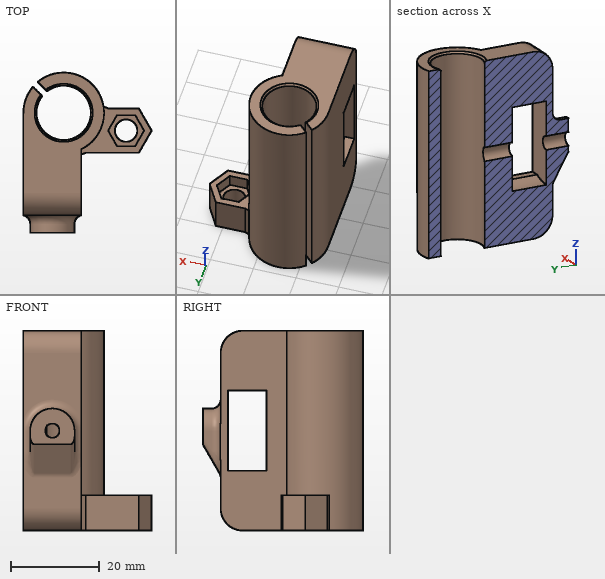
import cadquery as cq
import math

HEIGHT = 45.0
BORE_DIAMETER = 12.2
BORE_RADIUS = BORE_DIAMETER / 2
CLAMP_DIAMETER = 18.2
CLAMP_RADIUS = CLAMP_DIAMETER / 2
BORE_CHAMFER = 0.45
SLIT_WIDTH = 1.5
SLIT_ANGLE = 135.0

BLOCK_WIDTH = 13.1
BLOCK_LEFT = -CLAMP_RADIUS
BLOCK_RIGHT = BLOCK_LEFT + BLOCK_WIDTH
BLOCK_CENTER = BLOCK_LEFT + BLOCK_WIDTH / 2
BLOCK_FRONT = -23.0
BLOCK_ROUND = 5.0

WINDOW_HEIGHT = 18.0
WINDOW_LENGTH = 8.6
WINDOW_WALL = 1.7
WINDOW_FRONT = BLOCK_FRONT + WINDOW_WALL
WINDOW_BOTTOM = (HEIGHT - WINDOW_HEIGHT) / 2
WINDOW_RELIEF_DIAMETER = 20.0

BOSS_RADIUS = 5.0
BOSS_LENGTH = 4.0
BOSS_Z = HEIGHT / 2
BOSS_FACE_BOTTOM = 19.4
BOSS_SLOPE = 60.0
BOSS_EDGE_ROUND = 1.0
BOSS_ROOT_FILLET = 2.0
EDGE_SEARCH_MARGIN = 0.22
SCREW_DIAMETER = 3.2

LUG_HEIGHT = 8.0
LUG_FLATS = 10.0
LUG_X = 14.05
LUG_Y = -4.0
LUG_HOLE_DIAMETER = 5.0
LUG_CHAMFER_LENGTH = 1.0
LUG_CHAMFER_RISE = 0.4
HEX_SIDES = 6
NUT_FLATS = 7.0
NUT_DEPTH = 3.0


def box(x0, x1, y0, y1, z0, z1):
    return cq.Workplane("XY").box(x1 - x0, y1 - y0, z1 - z0, centered=False).translate((x0, y0, z0))


def corner_diameter(flats):
    return 2 * flats / math.sqrt(3)


def make_body():
    block = box(BLOCK_LEFT, BLOCK_RIGHT, BLOCK_FRONT, 0, 0, HEIGHT)
    block = block.edges("<Y and |X").fillet(BLOCK_ROUND)
    clamp = cq.Workplane("XY").circle(CLAMP_RADIUS).extrude(HEIGHT)
    return block.union(clamp)


def make_boss():
    tip_y = BLOCK_FRONT - BOSS_LENGTH
    root_z = BOSS_FACE_BOTTOM - BOSS_LENGTH * math.tan(math.radians(BOSS_SLOPE))
    boss = (
        cq.Workplane("XZ", origin=(BLOCK_CENTER, tip_y, BOSS_Z))
        .moveTo(-BOSS_RADIUS, 0)
        .threePointArc((0, BOSS_RADIUS), (BOSS_RADIUS, 0))
        .lineTo(BOSS_RADIUS, root_z - BOSS_Z)
        .lineTo(-BOSS_RADIUS, root_z - BOSS_Z)
        .close()
        .extrude(-BOSS_LENGTH)
    )
    underside = (
        cq.Workplane("YZ", origin=(BLOCK_CENTER - BOSS_RADIUS, 0, 0))
        .polyline([(tip_y, BOSS_FACE_BOTTOM), (BLOCK_FRONT, root_z), (tip_y, root_z)])
        .close()
        .extrude(2 * BOSS_RADIUS)
    )
    boss = boss.cut(underside)
    boss = boss.faces("<Z").edges("not(|X)").fillet(BOSS_EDGE_ROUND)

    plate_reach = BLOCK_WIDTH
    plate_back = WINDOW_FRONT
    plate = box(
        BLOCK_CENTER - plate_reach, BLOCK_CENTER + plate_reach,
        BLOCK_FRONT, plate_back, BLOCK_ROUND, HEIGHT - BLOCK_ROUND,
    )
    margin = EDGE_SEARCH_MARGIN
    reach = BOSS_RADIUS + margin
    root_zone = cq.selectors.BoxSelector(
        (BLOCK_CENTER - reach, BLOCK_FRONT - margin, root_z - margin),
        (BLOCK_CENTER + reach, BLOCK_FRONT + margin, BOSS_Z + reach),
        boundingbox=True,
    )
    boss = plate.union(boss).edges(root_zone).fillet(BOSS_ROOT_FILLET)
    trim = box(BLOCK_LEFT, BLOCK_RIGHT, tip_y, plate_back, 0, HEIGHT)
    return boss.intersect(trim)


def make_lug():
    half = LUG_FLATS / 2
    hexagon = cq.Workplane("XY", origin=(LUG_X, LUG_Y, 0)).polygon(HEX_SIDES, corner_diameter(LUG_FLATS))
    web = box(0, LUG_X, LUG_Y - half, LUG_Y + half, 0, LUG_HEIGHT)
    lug = hexagon.extrude(LUG_HEIGHT).union(web)
    for side, root_x in ((-1, BLOCK_RIGHT), (1, CLAMP_RADIUS)):
        edge_y = LUG_Y + side * half
        gusset = (
            cq.Workplane("XY")
            .polyline([
                (0, edge_y),
                (root_x + LUG_CHAMFER_LENGTH, edge_y),
                (root_x, edge_y + side * LUG_CHAMFER_RISE),
                (0, edge_y + side * LUG_CHAMFER_RISE),
            ])
            .close()
            .extrude(LUG_HEIGHT)
        )
        lug = lug.union(gusset)
    return lug


def cut_lug(part):
    top = cq.Workplane("XY", origin=(LUG_X, LUG_Y, LUG_HEIGHT))
    pocket = top.polygon(HEX_SIDES, corner_diameter(NUT_FLATS)).extrude(-NUT_DEPTH)
    hole = top.circle(LUG_HOLE_DIAMETER / 2).extrude(-LUG_HEIGHT)
    return part.cut(pocket).cut(hole)


def cut_bore(part):
    bore = cq.Workplane("XY").circle(BORE_RADIUS).extrude(HEIGHT)
    mouth = (
        cq.Workplane("XY", origin=(0, 0, HEIGHT))
        .circle(BORE_RADIUS + BORE_CHAMFER)
        .workplane(offset=-BORE_CHAMFER)
        .circle(BORE_RADIUS)
        .loft()
    )
    slit = box(0, 2 * CLAMP_RADIUS, -SLIT_WIDTH / 2, SLIT_WIDTH / 2, 0, HEIGHT)
    slit = slit.rotate((0, 0, 0), (0, 0, 1), SLIT_ANGLE)
    return part.cut(bore).cut(mouth).cut(slit)


def cut_window(part):
    window_back = WINDOW_FRONT + WINDOW_LENGTH
    window = box(
        BLOCK_LEFT, BLOCK_RIGHT,
        WINDOW_FRONT, window_back,
        WINDOW_BOTTOM, WINDOW_BOTTOM + WINDOW_HEIGHT,
    )
    relief = (
        cq.Workplane("XZ", origin=(BLOCK_CENTER, WINDOW_FRONT, HEIGHT / 2))
        .circle(WINDOW_RELIEF_DIAMETER / 2)
        .extrude(-WINDOW_LENGTH)
    )
    return part.cut(window).cut(relief)


def cut_screw_hole(part):
    hole = (
        cq.Workplane("XZ", origin=(BLOCK_CENTER, 0, BOSS_Z))
        .circle(SCREW_DIAMETER / 2)
        .extrude(BOSS_LENGTH - BLOCK_FRONT)
    )
    return part.cut(hole)


result = make_body().union(make_boss()).union(make_lug())
result = cut_lug(result)
result = cut_bore(result)
result = cut_window(result)
result = cut_screw_hole(result)